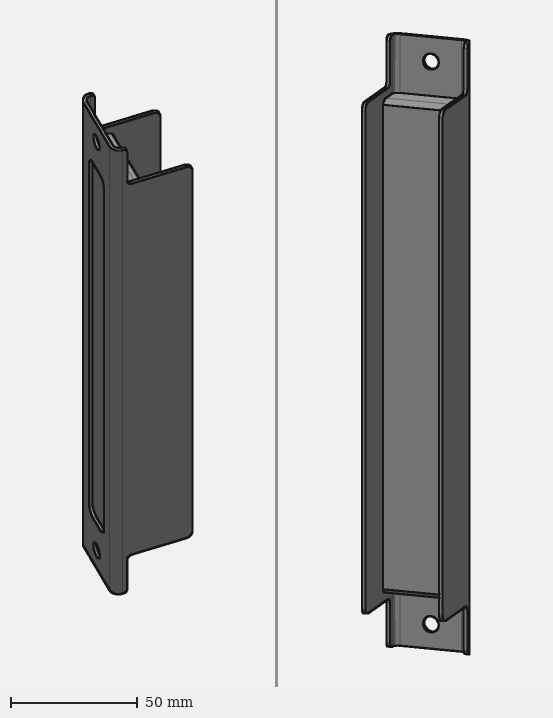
import cadquery as cq
import math

width = 34.0
depth = 34.0
height = 250.0
sheet = 1.5
bend_outer_radius = 4.0
bend_inner_radius = bend_outer_radius - sheet

lip_depth = 6.0
lip_length = 20.5
flange_corner_radius = 3.0
notch_radius = 2.0
lip_corner_radius = 2.0

hole_diameter = 6.5
hole_inset = 10.0
slot_width = 15.0
slot_length = 200.0
slot_corner_radius = 4.0

backing_depth = 13.8
backing_flat_depth = 10.8
backing_overlap = 1.0
backing_length = slot_length + 2 * backing_overlap
backing_arc_radius = 3.2

mid_height = height / 2
lip_ends = (lip_length, height - lip_length)


def channel():
    """U channel with its web on Y = 0 and its flanges towards +Y."""
    outer = cq.Workplane("XY").box(width, depth, height, centered=(True, False, False))
    outer = outer.faces("<Y").edges("|Z").fillet(bend_outer_radius)
    inner = (
        cq.Workplane("XY")
        .box(width - 2 * sheet, depth, height, centered=(True, False, False))
        .faces("<Y")
        .edges("|Z")
        .fillet(bend_inner_radius)
        .translate((0, sheet, 0))
    )
    return outer.cut(inner)


def side_outline():
    """Solid of the stepped side profile, as wide as the channel."""
    tall = cq.Workplane("XY").box(width, depth, height - 2 * lip_length, centered=(True, False, False))
    tall = tall.translate((0, 0, lip_length))
    low = cq.Workplane("XY").box(width, lip_depth, height, centered=(True, False, False))
    outline = tall.union(low)
    outline = outline.faces(">Y").edges("|X").fillet(flange_corner_radius)
    for z in lip_ends:
        outline = outline.edges(cq.selectors.NearestToPointSelector((0, lip_depth, z))).fillet(notch_radius)
    for z in (0, height):
        outline = outline.edges(cq.selectors.NearestToPointSelector((0, lip_depth, z))).fillet(lip_corner_radius)
    return outline


def backing():
    """Bar filling the channel between the flanges behind the web."""
    half_length = backing_length / 2
    reach = backing_depth - backing_flat_depth
    drop = backing_arc_radius - math.sqrt(backing_arc_radius**2 - reach**2)
    half_angle = math.asin(reach / backing_arc_radius) / 2
    arc_mid_y = backing_flat_depth + backing_arc_radius * math.sin(half_angle)
    arc_mid_z = half_length - backing_arc_radius * (1 - math.cos(half_angle))
    profile = (
        cq.Workplane("YZ")
        .moveTo(sheet, -half_length)
        .lineTo(sheet, half_length)
        .lineTo(backing_flat_depth, half_length)
        .threePointArc((arc_mid_y, arc_mid_z), (backing_depth, half_length - drop))
        .lineTo(backing_depth, drop - half_length)
        .threePointArc((arc_mid_y, -arc_mid_z), (backing_flat_depth, -half_length))
        .close()
    )
    inner_width = width - 2 * sheet
    return profile.extrude(inner_width / 2, both=True).translate((0, 0, mid_height))


def web_cutter(sketch):
    """Extrude a centred XZ sketch through the thickness of the web."""
    return sketch.extrude(-sheet).translate((0, 0, mid_height))


slot = web_cutter(cq.Workplane("XZ").rect(slot_width, slot_length))
slot = slot.edges("|Y").fillet(slot_corner_radius)
hole_spacing = height - 2 * hole_inset
holes = web_cutter(cq.Workplane("XZ").rarray(2.5, hole_spacing, 1, 2).circle(hole_diameter / 2))

result = channel().intersect(side_outline()).union(backing()).cut(slot).cut(holes)